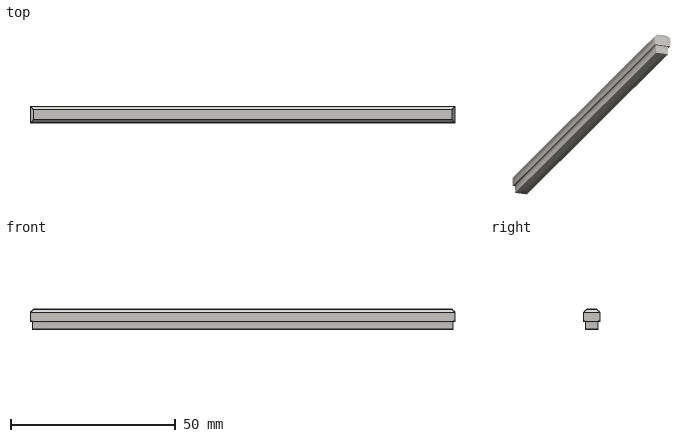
import cadquery as cq

head_length = 129.0
head_width = 5.03
total_height = 6.1
bevel_size = 1.0

stem_height = 2.4
stem_inset = 0.6

stem_length = head_length - 2 * stem_inset
stem_width = head_width - 2 * stem_inset
head_height = total_height - stem_height


def make_stem():
    """Rectangular tongue standing on Z = 0."""
    return cq.Workplane("XY").box(stem_length, stem_width, stem_height, centered=(True, True, False))


def make_head():
    """Rectangular bar on top of the stem, bevelled along its four top edges."""
    bar = (
        cq.Workplane("XY")
        .workplane(offset=stem_height)
        .box(head_length, head_width, head_height, centered=(True, True, False))
    )
    return bar.faces(">Z").edges().chamfer(bevel_size)


result = make_head().union(make_stem())